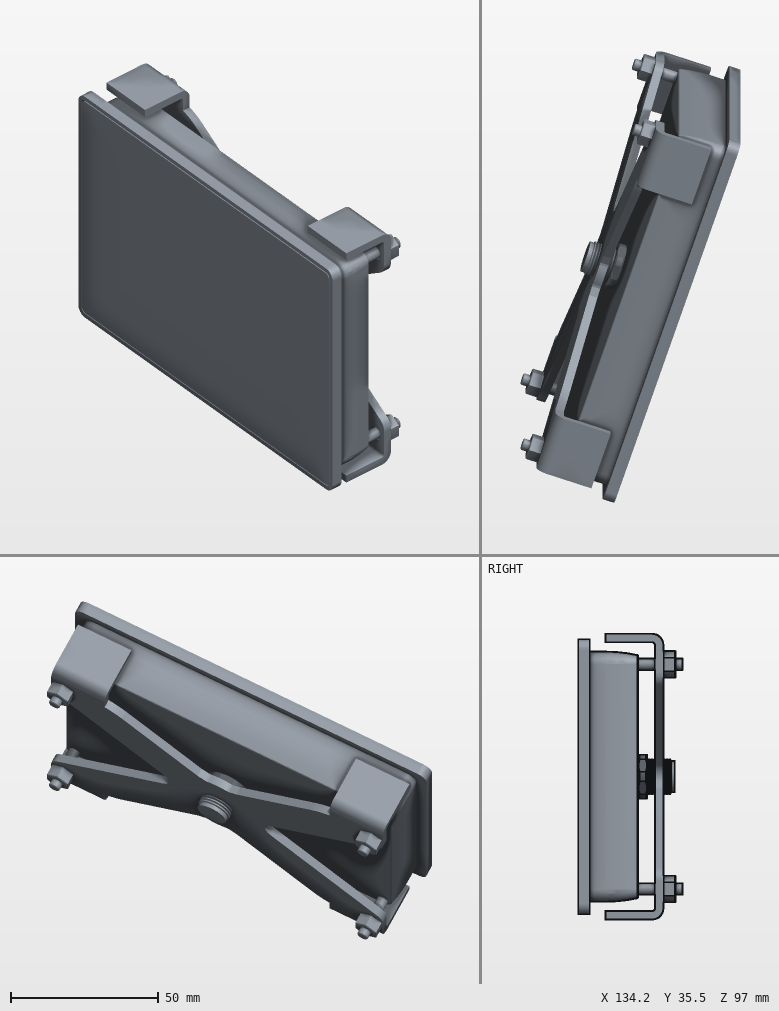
import cadquery as cq
import math

WIDTH = 134.2
HEIGHT = 97.0
DEPTH = 35.5

RIM_HEIGHT = 93.4
RIM_DEPTH = 4.0
RIM_CORNER = 3.5
BODY_WIDTH = 126.7
BODY_HEIGHT = 85.0
BODY_CORNER = 4.2
WALL_END_Y = 9.5
BACK_Y = 20.4
BACK_INSET = 1.2
BACK_CHAMFER = 0.3

PANEL_MARGIN = 1.6
PANEL_GAP = 0.4
PANEL_CORNER = 1.6
PANEL_DEPTH = 1.3

STUD_X = 58.9
STUD_Z = 38.1
STUD_RADIUS = 2.0
NUT_ACROSS_FLATS = 7.9
NUT_THICKNESS = 4.2
FASTENER_CHAMFER = 0.3

PLATE_BACK_Y = 29.0
PLATE_THICKNESS = 3.0
TAB_WIDTH = 20.4
TAB_FRONT_Y = 9.3
BEND_RADIUS = 3.9
STUD_HOLE_RADIUS = 2.5
SHOULDER_Z = 40.3
SHOULDER_RUN = 6.7
SHOULDER_DROP = 3.0
ARM_ANGLE = 33.5
SIDE_EDGE_END_Z = 35.2
SIDE_CORNER_RADIUS = 5.0
WAIST_HALF_HEIGHT = 4.2
VALLEY_HALF_WIDTH = 7.4
VALLEY_FLOOR_HALF = 4.4
BUMP_HALF_WIDTH = 3.6
VALLEY_DROP = 1.2
BUMP_RISE = 0.5
CONNECTOR_HOLE_RADIUS = 6.3

HEX_ACROSS_FLATS = 15.0
HEX_RADIUS = 7.9
HEX_THICKNESS = 3.1
HEX_CHAMFER = 0.5
THREAD_RADIUS = 5.9
THREAD_ROOT_RADIUS = 5.4
THREAD_PITCH = 1.0
THREAD_CREST = 0.34
THREAD_TURNS = 8
CONNECTOR_BACK_Y = 32.9

HEX_SIDES = 6

BODY_HALF_WIDTH = BODY_WIDTH / 2
PLATE_FRONT_Y = PLATE_BACK_Y - PLATE_THICKNESS
PANEL_WIDTH = WIDTH - 2 * (PANEL_MARGIN + PANEL_GAP)
PANEL_HEIGHT = RIM_HEIGHT - 2 * (PANEL_MARGIN + PANEL_GAP)
CORNER_SIGNS = [(sx, sz) for sx in (-1, 1) for sz in (-1, 1)]


def plane_at(y):
    """XZ plane at depth y whose normal points to the back (+Y); local (x, y) is (-X, Z)."""
    return cq.Workplane(cq.Plane(origin=(0, y, 0), xDir=(-1, 0, 0), normal=(0, 1, 0)))


def rounded_block(width, height, corner, y_start, y_end):
    block = plane_at(y_start).rect(width, height).extrude(y_end - y_start)
    return block.edges("|Y").fillet(corner)


def cylinder(radius, y_start, y_end, x=0.0, z=0.0):
    return plane_at(y_start).center(-x, z).circle(radius).extrude(y_end - y_start)


def curved_back():
    """Back of the housing: a core with a curved wall swept around it."""
    core_width = BODY_WIDTH - 2 * BODY_CORNER
    core_height = BODY_HEIGHT - 2 * BODY_CORNER
    depth = BACK_Y - WALL_END_Y
    back_edge = BODY_CORNER - BACK_INSET
    arc_depth = depth - BACK_CHAMFER
    wall_radius = (arc_depth ** 2 + BACK_INSET ** 2) / (2 * BACK_INSET)
    half_angle = math.asin(arc_depth / wall_radius) / 2
    arc_middle = (
        BODY_CORNER - wall_radius * (1 - math.cos(half_angle)),
        WALL_END_Y + wall_radius * math.sin(half_angle),
    )

    def wall_profile(plane):
        return (
            cq.Workplane(plane)
            .moveTo(0, WALL_END_Y)
            .lineTo(BODY_CORNER, WALL_END_Y)
            .threePointArc(arc_middle, (back_edge, BACK_Y - BACK_CHAMFER))
            .lineTo(back_edge - BACK_CHAMFER, BACK_Y)
            .lineTo(0, BACK_Y)
            .close()
        )

    back = plane_at(WALL_END_Y).rect(core_width, core_height).extrude(depth)
    for sign in (-1, 1):
        end_plane = cq.Plane(
            origin=(sign * core_width / 2, 0, -sign * core_height / 2),
            xDir=(sign, 0, 0),
            normal=(0, 0, sign),
        )
        long_plane = cq.Plane(
            origin=(-sign * core_width / 2, 0, -sign * core_height / 2),
            xDir=(0, 0, -sign),
            normal=(sign, 0, 0),
        )
        back = back.union(wall_profile(end_plane).extrude(core_height))
        back = back.union(wall_profile(long_plane).extrude(core_width))
    for sx, sz in CORNER_SIGNS:
        corner_plane = cq.Plane(
            origin=(sx * core_width / 2, 0, sz * core_height / 2),
            xDir=(1, 0, 0),
            normal=(0, 0, 1),
        )
        corner = wall_profile(corner_plane).revolve(360, (0, 0, 0), (0, 1, 0))
        back = back.union(corner)
    return back


def stud_with_nut(x, z):
    stud = cylinder(STUD_RADIUS, BACK_Y, DEPTH, x, z)
    nut_diameter = NUT_ACROSS_FLATS / math.cos(math.pi / HEX_SIDES)
    nut = (
        plane_at(PLATE_BACK_Y)
        .center(-x, z)
        .transformed(rotate=(0, 0, 90))
        .polygon(HEX_SIDES, nut_diameter)
        .extrude(NUT_THICKNESS)
    )
    stud = stud.faces(">Y").chamfer(FASTENER_CHAMFER)
    nut = nut.faces(">Y").chamfer(FASTENER_CHAMFER)
    return stud.union(nut)


def make_housing():
    rim = rounded_block(WIDTH, RIM_HEIGHT, RIM_CORNER, 0, RIM_DEPTH)
    wall = rounded_block(BODY_WIDTH, BODY_HEIGHT, BODY_CORNER, RIM_DEPTH, WALL_END_Y)
    recess = rounded_block(
        PANEL_WIDTH + 2 * PANEL_GAP,
        PANEL_HEIGHT + 2 * PANEL_GAP,
        PANEL_CORNER + PANEL_GAP,
        0,
        PANEL_DEPTH,
    )
    housing = rim.cut(recess).union(wall).union(curved_back())
    for sx, sz in CORNER_SIGNS:
        housing = housing.union(stud_with_nut(sx * STUD_X, sz * STUD_Z))
    return housing


def make_panel():
    return rounded_block(PANEL_WIDTH, PANEL_HEIGHT, PANEL_CORNER, 0, PANEL_DEPTH)


def bracket_quarter():
    """Quarter of the flat plate in the +X, +Z corner, up to where the tab bends."""
    slope = math.tan(math.radians(ARM_ANGLE))
    bend_z = HEIGHT / 2 - BEND_RADIUS
    tab_inner_x = BODY_HALF_WIDTH - TAB_WIDTH

    shoulder = (tab_inner_x - SHOULDER_RUN, SHOULDER_Z - SHOULDER_DROP)
    valley_z = shoulder[1] - slope * (shoulder[0] - VALLEY_HALF_WIDTH)
    valley = (VALLEY_HALF_WIDTH, valley_z)
    bump_edge_z = valley_z - VALLEY_DROP
    bump_radius = (BUMP_HALF_WIDTH ** 2 + BUMP_RISE ** 2) / (2 * BUMP_RISE)
    bump_centre_z = bump_edge_z + BUMP_RISE - bump_radius
    bump_half_angle = math.asin(BUMP_HALF_WIDTH / bump_radius) / 2
    bump_arc_middle = (
        bump_radius * math.sin(bump_half_angle),
        bump_centre_z + bump_radius * math.cos(bump_half_angle),
    )

    corner_turn = math.radians(90 - ARM_ANGLE)
    side_corner = (
        BODY_HALF_WIDTH - SIDE_CORNER_RADIUS * (1 - math.cos(corner_turn)),
        SIDE_EDGE_END_Z - SIDE_CORNER_RADIUS * math.sin(corner_turn),
    )
    waist_x = side_corner[0] - (side_corner[1] - WAIST_HALF_HEIGHT) / slope
    waist_depth = WAIST_HALF_HEIGHT * math.tan(corner_turn / 2)

    return (
        cq.Workplane(cq.Plane(origin=(0, PLATE_BACK_Y, 0), xDir=(1, 0, 0), normal=(0, -1, 0)))
        .moveTo(0, 0)
        .lineTo(0, bump_edge_z + BUMP_RISE)
        .threePointArc(bump_arc_middle, (BUMP_HALF_WIDTH, bump_edge_z))
        .lineTo(VALLEY_FLOOR_HALF, bump_edge_z)
        .lineTo(*valley)
        .lineTo(*shoulder)
        .tangentArcPoint((tab_inner_x, SHOULDER_Z), relative=False)
        .lineTo(tab_inner_x, bend_z)
        .lineTo(BODY_HALF_WIDTH, bend_z)
        .lineTo(BODY_HALF_WIDTH, SIDE_EDGE_END_Z)
        .tangentArcPoint(side_corner, relative=False)
        .lineTo(waist_x, WAIST_HALF_HEIGHT)
        .tangentArcPoint((waist_x - waist_depth, 0), relative=False)
        .close()
        .extrude(PLATE_THICKNESS)
    )


def bracket_tab():
    """Folded tab of the +X, +Z corner."""
    top = HEIGHT / 2
    inner_radius = BEND_RADIUS - PLATE_THICKNESS
    centre_y = PLATE_BACK_Y - BEND_RADIUS
    centre_z = top - BEND_RADIUS
    diagonal = math.sqrt(0.5)
    return (
        cq.Workplane("YZ", origin=(BODY_HALF_WIDTH - TAB_WIDTH, 0, 0))
        .moveTo(PLATE_BACK_Y, centre_z)
        .threePointArc(
            (centre_y + BEND_RADIUS * diagonal, centre_z + BEND_RADIUS * diagonal), (centre_y, top)
        )
        .lineTo(TAB_FRONT_Y, top)
        .lineTo(TAB_FRONT_Y, top - PLATE_THICKNESS)
        .lineTo(centre_y, top - PLATE_THICKNESS)
        .threePointArc(
            (centre_y + inner_radius * diagonal, centre_z + inner_radius * diagonal),
            (PLATE_FRONT_Y, centre_z),
        )
        .close()
        .extrude(TAB_WIDTH)
    )


def make_bracket():
    quarter = bracket_quarter().union(bracket_tab())
    half = quarter.union(quarter.mirror("YZ"))
    bracket = half.union(half.mirror("XY"))
    for sx, sz in CORNER_SIGNS:
        bracket = bracket.cut(
            cylinder(STUD_HOLE_RADIUS, PLATE_FRONT_Y, PLATE_BACK_Y, sx * STUD_X, sz * STUD_Z)
        )
    return bracket.cut(cylinder(CONNECTOR_HOLE_RADIUS, PLATE_FRONT_Y, PLATE_BACK_Y))


def make_connector():
    hex_back_y = BACK_Y + HEX_THICKNESS
    hex_diameter = HEX_ACROSS_FLATS / math.cos(math.pi / HEX_SIDES)
    flange = plane_at(BACK_Y).polygon(HEX_SIDES, hex_diameter).extrude(HEX_THICKNESS)
    flange = flange.intersect(cylinder(HEX_RADIUS, BACK_Y, hex_back_y).edges().chamfer(HEX_CHAMFER))

    profile = (
        cq.Workplane("XY")
        .moveTo(0, BACK_Y)
        .lineTo(THREAD_ROOT_RADIUS, BACK_Y)
        .lineTo(THREAD_ROOT_RADIUS, hex_back_y)
    )
    for turn in range(THREAD_TURNS):
        ridge_y = hex_back_y + turn * THREAD_PITCH
        profile = profile.lineTo(THREAD_RADIUS, ridge_y + (THREAD_PITCH - THREAD_CREST) / 2)
        profile = profile.lineTo(THREAD_RADIUS, ridge_y + (THREAD_PITCH + THREAD_CREST) / 2)
        profile = profile.lineTo(THREAD_ROOT_RADIUS, ridge_y + THREAD_PITCH)
    profile = profile.lineTo(THREAD_ROOT_RADIUS, CONNECTOR_BACK_Y).lineTo(0, CONNECTOR_BACK_Y).close()
    shank = profile.revolve(360, (0, 0, 0), (0, 1, 0))
    return flange.union(shank)


housing = make_housing()
panel = make_panel()
bracket = make_bracket()
connector = make_connector()

result = cq.Compound.makeCompound([housing.val(), panel.val(), bracket.val(), connector.val()])